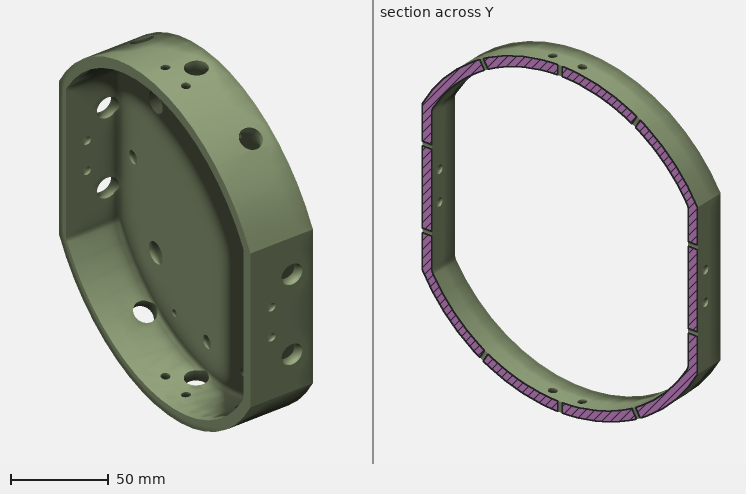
import cadquery as cq
import math

outer_radius = 101.5
outer_width = 178.2
depth = 38.2
wall = 6.3
floor_thickness = 6.3
corner_fillet = 6.3
floor_fillet = 2.5

wall_hole_diameter = 12.8
wall_hole_offset = 12.8
wall_hole_angle = 30.0
flat_hole_spacing = 50.8
screw_hole_diameter = 5.0
screw_hole_offset = 25.5
screw_hole_spacing = 19.0

large_hole_diameter = 12.8
large_hole_spacing = 95.3
medium_hole_diameter = 7.7
medium_hole_spacing_x = 137.5
medium_hole_spacing_z = 149.8
small_hole_diameter = 4.3
small_hole_spacing_x = 63.5
small_hole_spacing_z = 149.1
small_pattern_tilt = 1.2

back_y = depth / 2
floor_y = back_y - floor_thickness


def flat_sided_disc(radius, width, length, start_y):
    """Disc with flats at +X and -X, running from start_y toward -Y."""
    half_width = width / 2
    corner_z = math.sqrt(radius**2 - half_width**2)
    return (
        cq.Workplane("XZ", origin=(0, start_y, 0))
        .moveTo(half_width, -corner_z)
        .lineTo(half_width, corner_z)
        .threePointArc((0, radius), (-half_width, corner_z))
        .lineTo(-half_width, -corner_z)
        .threePointArc((0, -radius), (half_width, -corner_z))
        .close()
        .extrude(length)
    )


def floor_drill(diameter, points):
    """Cylinders along Y through the floor at the given (x, z) points."""
    return (
        cq.Workplane("XZ", origin=(0, back_y, 0))
        .pushPoints(points)
        .circle(diameter / 2)
        .extrude(depth)
    )


def rectangle_points(spacing_x, spacing_z, tilt=0.0):
    """Corners of a centred rectangle, turned by tilt degrees."""
    turn = math.radians(tilt)
    points = []
    for x in (-spacing_x / 2, spacing_x / 2):
        for z in (-spacing_z / 2, spacing_z / 2):
            points.append((
                x * math.cos(turn) - z * math.sin(turn),
                x * math.sin(turn) + z * math.cos(turn),
            ))
    return points


def wall_drill(diameter, back_offset, direction, shift=0.0):
    """Cylinder across the whole part, through both opposite walls.

    direction is the axis angle from +Z toward +X; shift moves the axis sideways.
    """
    return (
        cq.Workplane("XY", origin=(shift, back_y - back_offset, 0))
        .circle(diameter / 2)
        .extrude(outer_radius + wall, both=True)
        .rotate((0, 0, 0), (0, 1, 0), direction)
    )


body = flat_sided_disc(outer_radius, outer_width, depth, back_y)
pocket = (
    flat_sided_disc(outer_radius - wall, outer_width - 2 * wall, depth - floor_thickness, floor_y)
    .edges("|Y").fillet(corner_fillet)
    .faces(">Y").edges().fillet(floor_fillet)
)
result = body.cut(pocket)

large_points = rectangle_points(large_hole_spacing, large_hole_spacing)
medium_points = [
    (-medium_hole_spacing_x / 2, 0),
    (medium_hole_spacing_x / 2, 0),
    (0, -medium_hole_spacing_z / 2),
    (0, medium_hole_spacing_z / 2),
]
small_points = rectangle_points(small_hole_spacing_x, small_hole_spacing_z, small_pattern_tilt)
result = result.cut(floor_drill(large_hole_diameter, large_points))
result = result.cut(floor_drill(medium_hole_diameter, medium_points))
result = result.cut(floor_drill(small_hole_diameter, small_points))

for angle in (-wall_hole_angle, 0, wall_hole_angle):
    result = result.cut(wall_drill(wall_hole_diameter, wall_hole_offset, angle))

for side in (-1, 1):
    flat_shift = side * flat_hole_spacing / 2
    result = result.cut(wall_drill(wall_hole_diameter, wall_hole_offset, 90, flat_shift))

    screw_shift = side * screw_hole_spacing / 2
    for direction in (0, 90):
        result = result.cut(wall_drill(screw_hole_diameter, screw_hole_offset, direction, screw_shift))